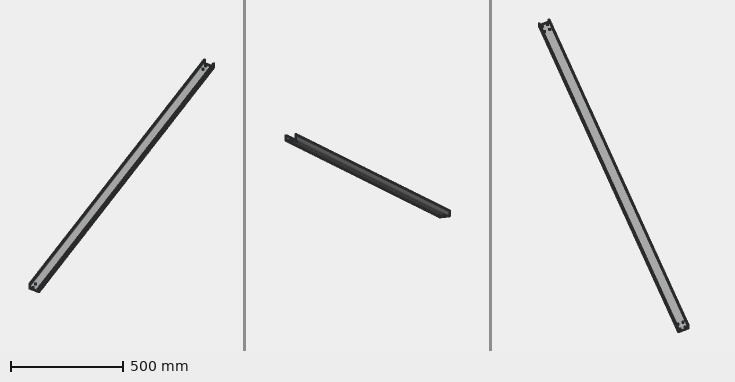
import cadquery as cq

width = 50.0
length = 1600.0
height = 25.0

thickness = 2.5
inner_bend_radius = thickness / 2
outer_bend_radius = inner_bend_radius + thickness

hole_diameter = 4.2
hole_spacing_x = 25.5
hole_end_distances = (10.0, 35.0)


def make_rounded_bar(bar_width, bottom, bend_radius):
    """Bar along Y from the bottom level to the channel top, with rounded lower edges."""
    return (
        cq.Workplane("XY", origin=(0, 0, bottom))
        .box(bar_width, length, height - bottom, centered=(True, True, False))
        .edges("|Y and <Z")
        .fillet(bend_radius)
    )


def make_channel():
    """U-channel of even wall thickness, open at the top."""
    outer = make_rounded_bar(width, 0, outer_bend_radius)
    cavity = make_rounded_bar(width - 2 * thickness, thickness, inner_bend_radius)
    return outer.cut(cavity)


def make_hole_cutters():
    """Vertical pins through the web at the hole positions of both ends."""
    positions = []
    for end in (-1, 1):
        for side in (-1, 1):
            for distance in hole_end_distances:
                x = side * hole_spacing_x / 2
                y = end * (length / 2 - distance)
                positions.append((x, y))
    return cq.Workplane("XY").pushPoints(positions).circle(hole_diameter / 2).extrude(thickness)


result = make_channel().cut(make_hole_cutters())